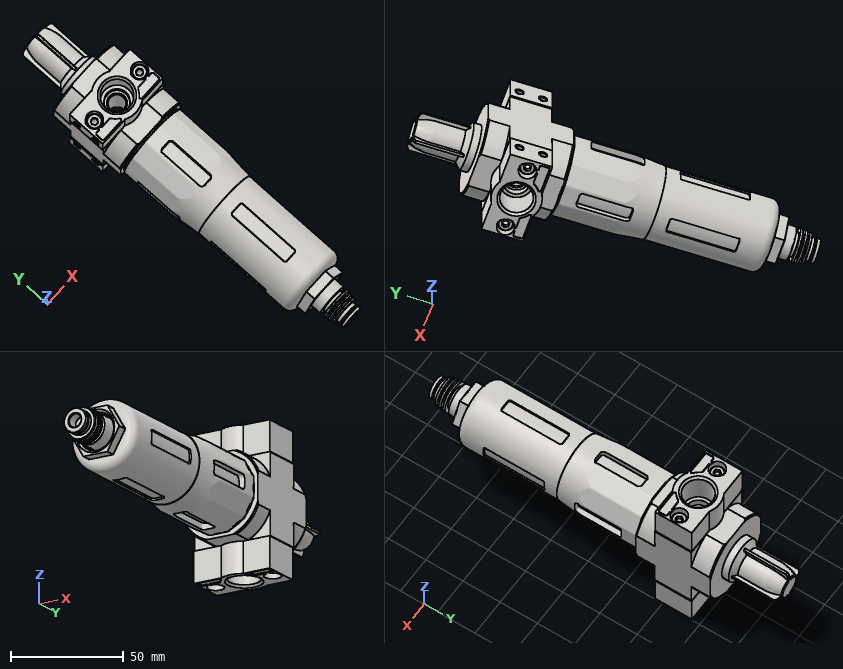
import cadquery as cq
import math


TOTAL_LENGTH = 190

BODY_WIDTH = 39.9
BODY_HEIGHT = 39.5
BODY_HALF_LENGTH = 20.1
BODY_ROUND_RADIUS = 21.5
BODY_CHAMFER = 0.5
MIDDLE_LENGTH = 19.8
PASSAGE_DIAMETER = 8.0
PASSAGE_MOUTH_DIAMETER = 11.5
PASSAGE_MOUTH_DEPTH = 3.8
PASSAGE_CHAMFER = 0.5

PLATE_WIDTH = 40.0
PLATE_SHIFT = -0.48
PLATE_OUTER_Z = 35.0
BOSS_RADIUS = 11.4
PORT_DIAMETER = 15.0
PORT_CHAMFER = 1.1
SIDE_HOLE_DIAMETER = 3.2
SIDE_HOLE_MOUTH_DIAMETER = 4.0
SIDE_HOLE_DEPTH = 3.8
SIDE_HOLE_Y = 5.5
SIDE_HOLE_Z = 25.8
DRILL_POINT_ANGLE = 118

LABEL_DEPTH = 0.5
LABEL_TOP_Y = -4.5
LABEL_BOTTOM_Y = -9.1
LABEL_EDGE_MARGIN = 1.1
LABEL_PORT_CLEARANCE = 9.9
LABEL_CORNER_RADIUS = 0.8
LABEL_NOTCH_WIDTH = 1.7

SCREW_X = 15.0
SCREW_HEAD_DIAMETER = 7.0
SCREW_HEAD_CHAMFER = 0.4
SCREW_HEAD_HEIGHT = 3.8
SCREW_HEAD_SINK = 2.9
SCREW_SHANK_DIAMETER = 4.0
SCREW_THREAD_DEPTH = 7.6
COUNTERBORE_DIAMETER = 8.0
SOCKET_FLATS = 3.0
SOCKET_DEPTH = 1.9

KNOB_TIP_Y = 49.0
KNOB_FLANGE_RADIUS = 11.0
KNOB_FLANGE_TOP_Y = 23.8
KNOB_CORE_RADIUS = 8.0
KNOB_CORE_BOTTOM_Y = 26.6
KNOB_CORE_TOP_Y = 40.9
KNOB_NOSE_MIDDLE = (7.5, 44.8)
KNOB_NOSE_END = (6.0, 48.6)
KNOB_TIP_RADIUS = 5.3
WING_RADIUS = 9.9
WING_THICKNESS = 1.3
WING_TOP_Y = 47.5
WING_SHOULDER = (8.5, 48.5)
WING_COUNT = 4

NECK_RADIUS = 18.0
GUARD_TOP_Y = -21.0
GUARD_RADIUS = 19.0
GUARD_APOTHEM = 18.5
GUARD_FACETS = 12
TAPER_TOP_Y = -49.2
TAPER_MIDDLE = (18.2, -54.5)
TAPER_BOTTOM_RADIUS = 17.3
TAPER_BOTTOM_Y = -64.5
BOWL_RADIUS = 17.1
BOWL_BOTTOM_Y = -119.0
BOWL_BOTTOM_FILLET = 4.2
WINDOW_WIDTH = 7.0
WINDOW_COUNT = 4
GUARD_WINDOW_Y = (-54.0, -28.9)
GUARD_WINDOW_CORNER = 1.5
GUARD_WINDOW_FLOOR_RADIUS = 15.5
BOWL_WINDOW_Y = (-104.0, -71.3)
BOWL_WINDOW_CORNER = 1.0
BOWL_WINDOW_FLOOR_RADIUS = 16.2
HEX_FLATS = 21.9
HEX_BOTTOM_Y = -123.9
HEX_BORE_RADIUS = 9.0
HEX_BORE_CHAMFER = 1.1

COLLAR_RADIUS = 8.0
COLLAR_BOTTOM_Y = -128.8
STEM_RADIUS = 5.7
RIB_RADII = (8.0, 7.8, 7.5)
RIB_THICKNESS = 1.1
RIB_PITCH = 2.3
FIRST_RIB_Y = -130.7
GROOVE_RADIUS = 4.4
GROOVE_TOP_Y = -138.3
GROOVE_BOTTOM_Y = -139.3
DRAIN_END_Y = KNOB_TIP_Y - TOTAL_LENGTH
DRAIN_HOLE_DIAMETER = 6.3
DRAIN_HOLE_DEPTH = 5.7
DRAIN_HOLE_CHAMFER = 0.4

HEX_SIDES = 6

FACE_Z = BODY_HEIGHT / 2
PLATE_THICKNESS = PLATE_OUTER_Z - FACE_Z
PLATE_LEFT_X = PLATE_SHIFT - PLATE_WIDTH / 2
PLATE_RIGHT_X = PLATE_SHIFT + PLATE_WIDTH / 2
HEAD_TOP_Z = PLATE_OUTER_Z - SCREW_HEAD_SINK
HEAD_SEAT_Z = HEAD_TOP_Z - SCREW_HEAD_HEIGHT
SHANK_END_Z = FACE_Z - SCREW_THREAD_DEPTH
SCREW_PLACES = [(-SCREW_X, 0), (SCREW_X, 0)]


def along_y(y_low, y_high):
    """Workplane at y_low, and the extrusion length that reaches y_high (its normal is -Y)."""
    return cq.Workplane("XZ", origin=(0, y_low, 0)), -(y_high - y_low)


def cylinder_y(radius, y_low, y_high):
    plane, length = along_y(y_low, y_high)
    return plane.circle(radius).extrude(length)


def facing_down(shape):
    """The same shape turned over for the -Z side."""
    return shape.mirror("XY")


def spin_about_y(shape, angle):
    return shape.rotate((0, 0, 0), (0, 1, 0), angle)


def revolve_about_y(profile):
    return profile.close().revolve(360, (0, 0, 0), (0, 1, 0))


def countersink(diameter, depth, z_face):
    """Cone that chamfers the upper mouth of a vertical hole at z_face."""
    mouth = cq.Workplane("XY").workplane(offset=z_face).circle(diameter / 2 + depth)
    return mouth.workplane(offset=-depth).circle(diameter / 2).loft()


def make_valve_body():
    barrel = cylinder_y(BODY_ROUND_RADIUS, -BODY_HALF_LENGTH, BODY_HALF_LENGTH)
    barrel = barrel.faces("<Y or >Y").chamfer(BODY_CHAMFER)
    block = cq.Workplane("XY").box(BODY_WIDTH, 2 * BODY_HALF_LENGTH, BODY_HEIGHT)
    middle = cq.Workplane("XY").box(BODY_WIDTH, MIDDLE_LENGTH, BODY_HEIGHT)
    body = barrel.intersect(block).union(middle)

    passage = cq.Workplane("XY").circle(PASSAGE_DIAMETER / 2).extrude(BODY_HEIGHT, both=True)
    mouth_floor_z = FACE_Z - PASSAGE_MOUTH_DEPTH
    mouth = (
        cq.Workplane("XY").workplane(offset=mouth_floor_z)
        .circle(PASSAGE_MOUTH_DIAMETER / 2).extrude(PASSAGE_MOUTH_DEPTH)
        .union(countersink(PASSAGE_DIAMETER, PASSAGE_CHAMFER, mouth_floor_z))
    )
    screw_holes = (
        cq.Workplane("XY").workplane(offset=SHANK_END_Z)
        .pushPoints(SCREW_PLACES).circle(SCREW_SHANK_DIAMETER / 2).extrude(SCREW_THREAD_DEPTH)
    )
    upper_cuts = mouth.union(screw_holes)
    return body.cut(passage).cut(upper_cuts).cut(facing_down(upper_cuts))


def label_recess():
    """Recess at the +X end, with one side curved round the port."""
    end_x = PLATE_RIGHT_X - LABEL_EDGE_MARGIN
    height = LABEL_TOP_Y - LABEL_BOTTOM_Y
    floor_z = PLATE_OUTER_Z - LABEL_DEPTH
    recess = (
        cq.Workplane("XY").workplane(offset=floor_z)
        .center(end_x / 2, (LABEL_TOP_Y + LABEL_BOTTOM_Y) / 2)
        .rect(end_x, height).extrude(LABEL_DEPTH)
    )
    keep_out = (
        cq.Workplane("XY").workplane(offset=floor_z)
        .circle(LABEL_PORT_CLEARANCE).extrude(LABEL_DEPTH)
    )
    recess = recess.cut(keep_out).edges("|Z").fillet(LABEL_CORNER_RADIUS)
    notch = (
        cq.Workplane("XY").workplane(offset=floor_z)
        .center(SCREW_X, LABEL_TOP_Y / 2)
        .rect(LABEL_NOTCH_WIDTH, -LABEL_TOP_Y).extrude(LABEL_DEPTH)
    )
    return recess.union(notch)


def side_hole(y):
    """Blind drilled hole in the -X side, with a chamfered mouth and a conical end."""
    radius = SIDE_HOLE_DIAMETER / 2
    mouth_radius = SIDE_HOLE_MOUTH_DIAMETER / 2
    point = radius / math.tan(math.radians(DRILL_POINT_ANGLE / 2))
    profile = (
        cq.Workplane("XY")
        .polyline([
            (0, 0),
            (0, mouth_radius),
            (mouth_radius - radius, radius),
            (SIDE_HOLE_DEPTH, radius),
            (SIDE_HOLE_DEPTH + point, 0),
        ])
    )
    hole = profile.close().revolve(360, (0, 0, 0), (1, 0, 0))
    return hole.translate((PLATE_LEFT_X, y, SIDE_HOLE_Z))


def make_upper_plate():
    base = cq.Workplane("XY").workplane(offset=FACE_Z)
    plate = base.center(PLATE_SHIFT, 0).rect(PLATE_WIDTH, MIDDLE_LENGTH).extrude(PLATE_THICKNESS)
    boss = cq.Workplane("XY").workplane(offset=FACE_Z).circle(BOSS_RADIUS).extrude(PLATE_THICKNESS)
    plate = plate.union(boss)

    on_body = cq.Workplane("XY").workplane(offset=FACE_Z)
    on_seat = cq.Workplane("XY").workplane(offset=HEAD_SEAT_Z)
    plate = plate.cut(on_body.circle(PORT_DIAMETER / 2).extrude(PLATE_THICKNESS))
    plate = plate.cut(countersink(PORT_DIAMETER, PORT_CHAMFER, PLATE_OUTER_Z))
    plate = plate.cut(
        on_body.pushPoints(SCREW_PLACES).circle(SCREW_SHANK_DIAMETER / 2).extrude(PLATE_THICKNESS)
    )
    plate = plate.cut(
        on_seat.pushPoints(SCREW_PLACES).circle(COUNTERBORE_DIAMETER / 2)
        .extrude(PLATE_OUTER_Z - HEAD_SEAT_Z)
    )
    right_label = label_recess()
    left_label = right_label.mirror("YZ").translate((2 * PLATE_SHIFT, 0, 0))
    plate = plate.cut(right_label).cut(left_label)
    for y in (-SIDE_HOLE_Y, SIDE_HOLE_Y):
        plate = plate.cut(side_hole(y))
    return plate


def make_upper_screw(x):
    head = (
        cq.Workplane("XY").workplane(offset=HEAD_SEAT_Z)
        .circle(SCREW_HEAD_DIAMETER / 2).extrude(SCREW_HEAD_HEIGHT)
        .faces(">Z").chamfer(SCREW_HEAD_CHAMFER)
    )
    shank = (
        cq.Workplane("XY").workplane(offset=SHANK_END_Z)
        .circle(SCREW_SHANK_DIAMETER / 2).extrude(HEAD_SEAT_Z - SHANK_END_Z)
    )
    socket_corners = SOCKET_FLATS / math.cos(math.pi / 6)
    socket = (
        cq.Workplane("XY").workplane(offset=HEAD_TOP_Z - SOCKET_DEPTH)
        .polygon(HEX_SIDES, socket_corners).extrude(SOCKET_DEPTH)
    )
    socket_point = cq.Workplane("XY").add(
        cq.Solid.makeCone(0, SOCKET_FLATS / 2, SOCKET_FLATS / 2)
        .translate(cq.Vector(0, 0, HEAD_TOP_Z - SOCKET_DEPTH - SOCKET_FLATS / 2))
    )
    return head.union(shank).cut(socket).cut(socket_point).translate((x, 0, 0))


def make_knob():
    core = revolve_about_y(
        cq.Workplane("XY")
        .moveTo(0, BODY_HALF_LENGTH)
        .lineTo(KNOB_FLANGE_RADIUS, BODY_HALF_LENGTH)
        .lineTo(KNOB_FLANGE_RADIUS, KNOB_FLANGE_TOP_Y)
        .lineTo(KNOB_CORE_RADIUS, KNOB_CORE_BOTTOM_Y)
        .lineTo(KNOB_CORE_RADIUS, KNOB_CORE_TOP_Y)
        .threePointArc(KNOB_NOSE_MIDDLE, KNOB_NOSE_END)
        .lineTo(KNOB_TIP_RADIUS, KNOB_TIP_Y)
        .lineTo(0, KNOB_TIP_Y)
    )
    wing = (
        cq.Workplane("XY").workplane(offset=-WING_THICKNESS / 2)
        .polyline([
            (0, KNOB_FLANGE_TOP_Y),
            (WING_RADIUS, KNOB_FLANGE_TOP_Y),
            (WING_RADIUS, WING_TOP_Y),
            WING_SHOULDER,
            (KNOB_TIP_RADIUS, KNOB_TIP_Y),
            (0, KNOB_TIP_Y),
        ])
        .close().extrude(WING_THICKNESS)
    )
    knob = core
    for i in range(WING_COUNT):
        knob = knob.union(spin_about_y(wing, i * 360 / WING_COUNT))
    return knob


def window_cut(y_range, corner_radius, floor_radius):
    """Rounded rectangular recess on the +Z side, sunk to a cylindrical floor."""
    y_low, y_high = y_range
    slab = (
        cq.Workplane("XY").center(0, (y_low + y_high) / 2)
        .rect(WINDOW_WIDTH, y_high - y_low).extrude(GUARD_RADIUS)
        .edges("|Z").fillet(corner_radius)
    )
    return slab.cut(cylinder_y(floor_radius, y_low, y_high))


def make_bowl():
    fillet_start_y = BOWL_BOTTOM_Y + BOWL_BOTTOM_FILLET
    bend = BOWL_BOTTOM_FILLET * (1 - math.sqrt(0.5))
    bowl = revolve_about_y(
        cq.Workplane("XY")
        .moveTo(0, -BODY_HALF_LENGTH)
        .lineTo(NECK_RADIUS, -BODY_HALF_LENGTH)
        .lineTo(NECK_RADIUS, GUARD_TOP_Y)
        .lineTo(GUARD_RADIUS, GUARD_TOP_Y)
        .lineTo(GUARD_RADIUS, TAPER_TOP_Y)
        .threePointArc(TAPER_MIDDLE, (TAPER_BOTTOM_RADIUS, TAPER_BOTTOM_Y))
        .lineTo(BOWL_RADIUS, TAPER_BOTTOM_Y)
        .lineTo(BOWL_RADIUS, fillet_start_y)
        .threePointArc(
            (BOWL_RADIUS - bend, BOWL_BOTTOM_Y + bend),
            (BOWL_RADIUS - BOWL_BOTTOM_FILLET, BOWL_BOTTOM_Y),
        )
        .lineTo(0, BOWL_BOTTOM_Y)
    )

    half_facet = 180 / GUARD_FACETS
    plane, length = along_y(BOWL_BOTTOM_Y, -BODY_HALF_LENGTH)
    prism = plane.polygon(
        GUARD_FACETS, 2 * GUARD_APOTHEM / math.cos(math.radians(half_facet))
    ).extrude(length)
    bowl = bowl.intersect(spin_about_y(prism, half_facet))

    windows = [
        window_cut(GUARD_WINDOW_Y, GUARD_WINDOW_CORNER, GUARD_WINDOW_FLOOR_RADIUS),
        window_cut(BOWL_WINDOW_Y, BOWL_WINDOW_CORNER, BOWL_WINDOW_FLOOR_RADIUS),
    ]
    for window in windows:
        for i in range(WINDOW_COUNT):
            bowl = bowl.cut(spin_about_y(window, i * 360 / WINDOW_COUNT))

    plane, length = along_y(HEX_BOTTOM_Y, BOWL_BOTTOM_Y)
    hexagon = (
        plane.polygon(HEX_SIDES, HEX_FLATS / math.cos(math.pi / 6)).circle(HEX_BORE_RADIUS).extrude(length)
        .faces("<Y").edges("%CIRCLE").chamfer(HEX_BORE_CHAMFER)
    )
    return bowl.union(hexagon)


def make_drain():
    drain = cylinder_y(COLLAR_RADIUS, COLLAR_BOTTOM_Y, BOWL_BOTTOM_Y)
    drain = drain.union(cylinder_y(STEM_RADIUS, GROOVE_TOP_Y, COLLAR_BOTTOM_Y))
    for i, radius in enumerate(RIB_RADII):
        rib_top = FIRST_RIB_Y - i * RIB_PITCH
        drain = drain.union(cylinder_y(radius, rib_top - RIB_THICKNESS, rib_top))
    drain = drain.union(cylinder_y(GROOVE_RADIUS, GROOVE_BOTTOM_Y, GROOVE_TOP_Y))
    drain = drain.union(cylinder_y(STEM_RADIUS, DRAIN_END_Y, GROOVE_BOTTOM_Y))
    drain = drain.cut(cylinder_y(DRAIN_HOLE_DIAMETER / 2, DRAIN_END_Y, DRAIN_END_Y + DRAIN_HOLE_DEPTH))
    hole_rim = cq.selectors.RadiusNthSelector(0)
    return drain.faces("<Y").edges(hole_rim).chamfer(DRAIN_HOLE_CHAMFER)


valve_body = make_valve_body()
upper_plate = make_upper_plate()
lower_plate = facing_down(upper_plate)
screws = []
for screw_x in (-SCREW_X, SCREW_X):
    upper_screw = make_upper_screw(screw_x)
    screws += [upper_screw, facing_down(upper_screw)]
knob = make_knob()
bowl = make_bowl()
drain = make_drain()

result = cq.Compound.makeCompound([
    valve_body.val(),
    upper_plate.val(),
    lower_plate.val(),
    *[screw.val() for screw in screws],
    knob.val(),
    bowl.val(),
    drain.val(),
])